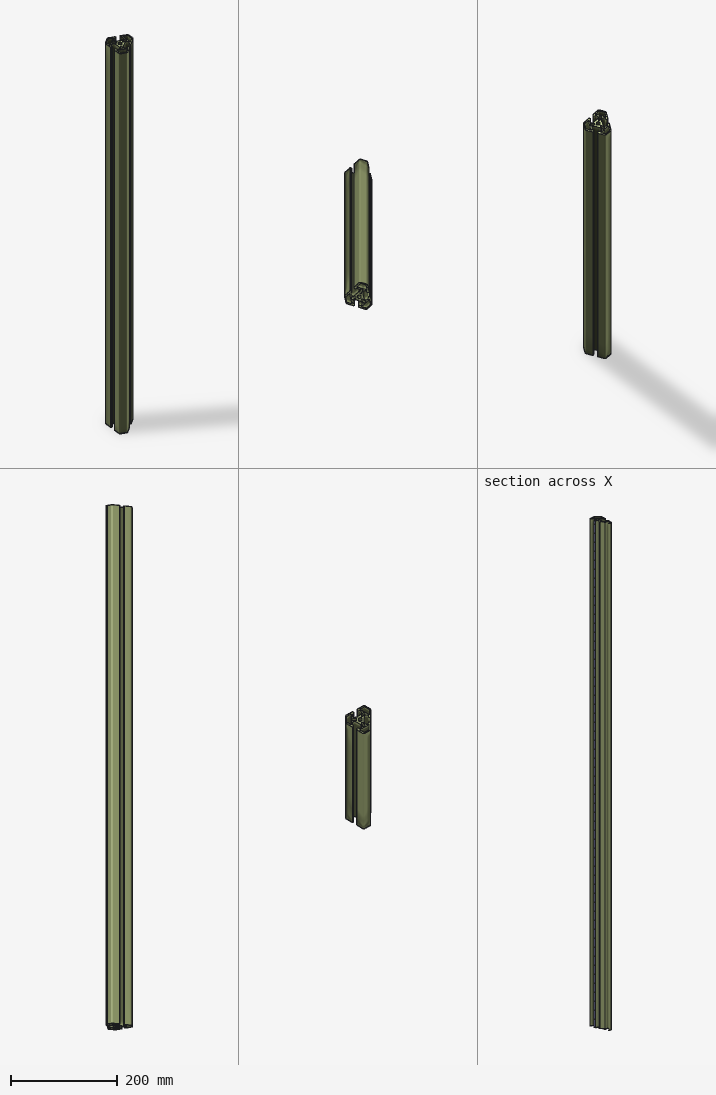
import cadquery as cq
import math

length = 1000.0
turns = (0, 120, 240)
slot_face_distance = 20.0
corner_face_distance = 27.2
outer_radius = 4.0
bore_diameter = 6.8

mouth_half_width = 4.0
mouth_radius = 1.0
lip_thickness = 3.8
lip_slope_rise = 1.3
lip_inner_radius = 1.2
slot_half_width = 8.8
slot_side_height = 6.1
slot_corner_radius = 2.3
floor_half_width = 4.1
floor_distance = 7.7
floor_edge_radius = 0.4

corner_wall = 2.0
chamber_side_wall = 2.9
chamber_bottom = 16.7
chamber_radius = 0.3

hollow_inner_distance = 6.7
hollow_outer_distance = 15.3
hollow_inner_half_width = 1.4
hollow_outer_half_width = 2.5
hollow_radius = 0.9

cos30 = math.cos(math.radians(30))
sin30 = math.sin(math.radians(30))


def symmetric_prism(right_half):
    """Full-length prism whose outline is the given points and their mirror images about X = 0."""
    left_half = [(-x, y) for x, y in reversed(right_half)]
    return cq.Workplane("XY").polyline(right_half + left_half).close().extrude(length)


def round_edges(prism, x, y, radius):
    """Round the two lengthwise edges at (x, y) and (-x, y)."""
    for side in (-1, 1):
        edge = prism.edges(cq.selectors.NearestToPointSelector((side * x, y, length / 2)))
        prism = edge.fillet(radius)
    return prism


def slot_to_corner_x(slot_offset, y):
    """X at height y of the line parallel to the upper right slot face, slot_offset from the axis."""
    return (slot_offset - y * sin30) / cos30


def blank():
    """Solid bar: slot faces at 30, 150 and 270 degrees, corner faces halfway between them."""
    top_x = slot_to_corner_x(slot_face_distance, corner_face_distance)
    bottom_x = (corner_face_distance - slot_face_distance * sin30) / cos30
    side_x = (slot_face_distance + corner_face_distance) / (2 * cos30)
    side_y = slot_face_distance - corner_face_distance
    outline = [
        (bottom_x, -slot_face_distance),
        (side_x, side_y),
        (top_x, corner_face_distance),
    ]
    return symmetric_prism(outline).edges("|Z").fillet(outer_radius)


def slot_chamber():
    """Wide inner part of the slot that opens toward -Y, with its narrow mouth."""
    lip_y = -slot_face_distance + lip_thickness
    side_bottom_y = lip_y + lip_slope_rise
    side_top_y = side_bottom_y + slot_side_height
    outline = [
        (mouth_half_width, -slot_face_distance),
        (mouth_half_width, lip_y),
        (slot_half_width, side_bottom_y),
        (slot_half_width, side_top_y),
        (floor_half_width, -floor_distance),
    ]
    chamber = symmetric_prism(outline)
    chamber = round_edges(chamber, mouth_half_width, lip_y, lip_inner_radius)
    chamber = round_edges(chamber, slot_half_width, side_bottom_y, slot_corner_radius)
    chamber = round_edges(chamber, slot_half_width, side_top_y, slot_corner_radius)
    return round_edges(chamber, floor_half_width, -floor_distance, floor_edge_radius)


def mouth_flare():
    """Cutter that rounds over the two outer edges of the slot mouth."""
    outer_y = -slot_face_distance
    inner_y = outer_y + mouth_radius
    flare_half_width = mouth_half_width + mouth_radius
    return (
        cq.Workplane("XY")
        .moveTo(-flare_half_width, outer_y)
        .lineTo(flare_half_width, outer_y)
        .radiusArc((mouth_half_width, inner_y), -mouth_radius)
        .lineTo(-mouth_half_width, inner_y)
        .radiusArc((-flare_half_width, outer_y), -mouth_radius)
        .close()
        .extrude(length)
    )


def corner_chamber():
    """Trapezoid hollow behind the +Y corner face, its sides parallel to the slot faces."""
    top_y = corner_face_distance - corner_wall
    side_offset = slot_face_distance - chamber_side_wall
    outline = [
        (slot_to_corner_x(side_offset, chamber_bottom), chamber_bottom),
        (slot_to_corner_x(side_offset, top_y), top_y),
    ]
    return symmetric_prism(outline).edges("|Z").fillet(chamber_radius)


def web_hollow():
    """Small hollow in the web that runs from the bore toward +Y, wider on its outer side."""
    outline = [
        (hollow_inner_half_width, hollow_inner_distance),
        (hollow_outer_half_width, hollow_outer_distance),
    ]
    return symmetric_prism(outline).edges("|Z").fillet(hollow_radius)


cutters = [slot_chamber(), mouth_flare(), corner_chamber(), web_hollow()]
bore = cq.Workplane("XY").circle(bore_diameter / 2).extrude(length)

result = blank().cut(bore)
for turn in turns:
    for cutter in cutters:
        result = result.cut(cutter.rotate((0, 0, 0), (0, 0, 1), turn))